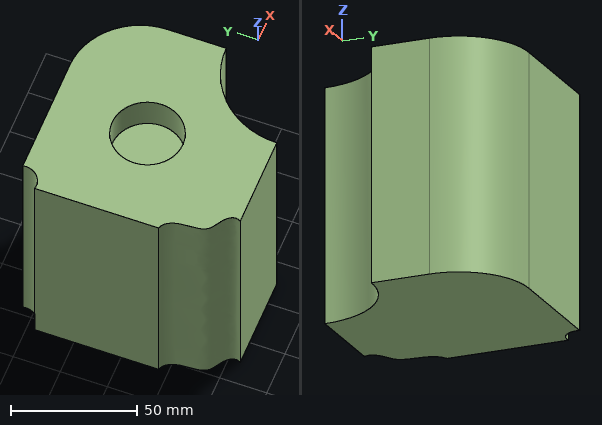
import cadquery as cq

side = 90.0
height = 100.0

round_radius = 30.0
cove_radius = 35.0
notch_radius = 7.2
notch_inset = 1.3

hole_diameter = 30.0
hole_inset = 40.6
hole_depth = 15.0

molding_points = [
    (0, 29.0),
    (2.6, 27.4),
    (4.4, 24.0),
    (5.2, 17.0),
    (7.0, 10.4),
    (12.6, 6.5),
    (15.3, 3.0),
    (14.7, 0),
]


def corner_cylinder(x, y, radius):
    """Full-height vertical cylinder used to hollow out a corner."""
    return cq.Workplane("XY").center(x, y).circle(radius).extrude(height)


block = cq.Workplane("XY").box(side, side, height, centered=False)
block = block.edges("|Z and >X and >Y").fillet(round_radius)

cove = corner_cylinder(side, 0, cove_radius)
notch = corner_cylinder(notch_inset, side - notch_inset, notch_radius)

molding_waste = (
    cq.Workplane("XY")
    .moveTo(*molding_points[0])
    .spline(molding_points[1:], includeCurrent=True)
    .lineTo(0, 0)
    .close()
    .extrude(height)
)

hole = (
    cq.Workplane("XY", origin=(hole_inset, side - hole_inset, height))
    .circle(hole_diameter / 2)
    .extrude(-hole_depth)
)

result = block.cut(cove).cut(notch).cut(molding_waste).cut(hole)